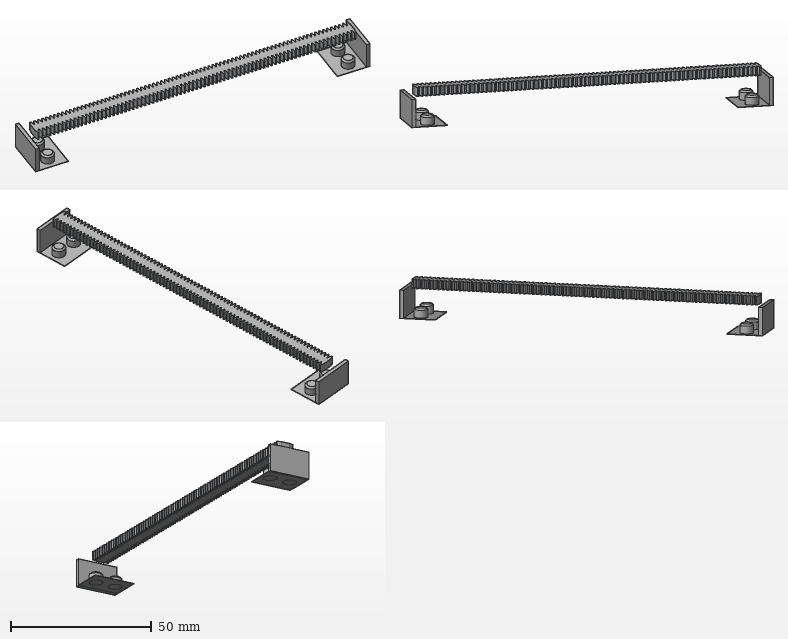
import cadquery as cq

overall_length = 133.6
overall_height = 13.4

bracket_width = 16.0
bracket_depth = 13.1
bracket_height = 10.3
wall_thickness = 1.5
base_thickness = 0.2

peg_diameter = 5.0
peg_height = 3.5
peg_chamfer = 0.7
peg_spacing = 8.0
peg_inset = 6.8

rack_length = 127.7
tooth_count = 81
tip_width = 6.5
root_width = 3.3
tip_land = 0.47
root_land = 0.3
tooth_pitch = (rack_length + root_land) / tooth_count
flank_run = (tooth_pitch - tip_land - root_land) / 2
rack_height = 3.2


def make_bracket():
    """L-shaped bracket at the -Y end, with two chamfered pegs on its base."""
    outer_y = -overall_length / 2
    centered_on_x = (True, False, False)
    base = cq.Workplane("XY").box(bracket_width, bracket_depth, base_thickness, centered=centered_on_x)
    wall = cq.Workplane("XY").box(bracket_width, wall_thickness, bracket_height, centered=centered_on_x)
    pegs = (
        cq.Workplane("XY", origin=(0, peg_inset, base_thickness))
        .pushPoints([(-peg_spacing / 2, 0), (peg_spacing / 2, 0)])
        .circle(peg_diameter / 2)
        .extrude(peg_height)
        .faces(">Z")
        .edges()
        .chamfer(peg_chamfer)
    )
    return base.union(wall).union(pegs).translate((0, outer_y, 0))


def toothed_edge():
    """Corner points of the +X edge of the rack, from its -Y end to its +Y end."""
    points = []
    for tooth in range(tooth_count):
        start = -rack_length / 2 + tooth * tooth_pitch
        tip_start = start + flank_run
        tip_end = tip_start + tip_land
        points += [
            (root_width / 2, start),
            (tip_width / 2, tip_start),
            (tip_width / 2, tip_end),
            (root_width / 2, tip_end + flank_run),
        ]
    return points


def make_rack():
    """Straight bar with the same row of teeth on its +X and -X sides."""
    right_edge = toothed_edge()
    left_edge = [(-x, y) for x, y in reversed(right_edge)]
    return (
        cq.Workplane("XY", origin=(0, 0, overall_height - rack_height))
        .polyline(right_edge + left_edge)
        .close()
        .extrude(rack_height)
    )


brackets = [make_bracket().rotate((0, 0, 0), (0, 0, 1), angle) for angle in (0, 180)]
rack = make_rack()

result = cq.Compound.makeCompound([rack.val(), *[bracket.val() for bracket in brackets]])